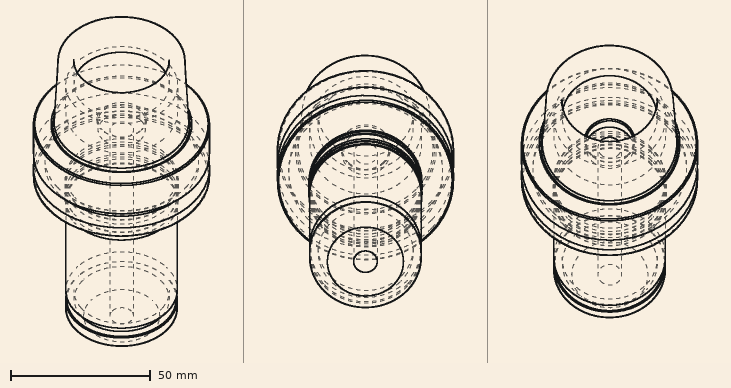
import cadquery as cq

total_height = 126.0
flange_bottom = 68.2
flange_top = 94.0
taper_base = 96.0

taper_base_radius = 48.1 / 2
taper_top_radius = 22.7
taper_rim_fillet = 1.3

root_top = 95.0
relief_outer_radius = 25.2
relief_floor_radius = 24.6
relief_depth = 0.3

flange_radius = 63.0 / 2
flange_chamfer = 0.5
gripper_floor_radius = 55.0 / 2
gripper_bottom = 72.7
gripper_floor_bottom = 74.2
gripper_floor_top = 77.6
gripper_top = 79.6
gripper_root_fillet = 0.6

body_radius = 40.0 / 2
land_radius = 40.5 / 2
land_bottom = 55.8
land_chamfer = 0.3
land_groove_root_radius = 19.8
land_groove_lip_radius = 20.0
land_groove_width = 2.3
land_groove_bottoms = (58.0, 64.0)
land_groove_bottom_lead = 0.5
land_groove_top_lead = 0.8
collar_neck_radius = 19.9
collar_neck_top = 67.0

lock_groove_radius = 17.0
lock_groove_bottom = 8.2
lock_groove_top = 12.6
lock_groove_fillet = 0.6
lock_groove_edge_chamfer = 0.4
nose_tip_radius = 13.6
nose_height = 3.7
nose_fillet = 0.6

mouth_radius = 34.0 / 2
mouth_rim_fillet = 1.0
mouth_bottom = 113.3
chamber_radius = 20.0
chamber_floor = 96.3
chamber_fillet = 4.4
counterbore_radius = 16.9 / 2
counterbore_depth = 5.0
counterbore_chamfer = 0.5
through_hole_radius = 8.5 / 2

cutter_margin = 1.3


def turned(points):
    """Solid of revolution about Z from (radius, height) points."""
    return cq.Workplane("XZ").polyline(points).close().revolve(360, (0, 0, 0), (0, 1, 0))


def cylinder(radius, bottom, top):
    return cq.Workplane("XY").workplane(offset=bottom).circle(radius).extrude(top - bottom)


def ring_cutter(inner_profile, outer_radius):
    """Groove cutter: floor points from bottom to top, closed at a radius outside the part."""
    bottom = inner_profile[0][1]
    top = inner_profile[-1][1]
    return turned([(outer_radius, bottom)] + inner_profile + [(outer_radius, top)])


def circle_at(height):
    """Selector for the circular edge centred on the axis at a height."""
    return cq.selectors.NearestToPointSelector((0, 0, height))


def make_taper():
    cone = turned([
        (0, flange_bottom),
        (relief_floor_radius, flange_bottom),
        (relief_floor_radius, flange_top - relief_depth),
        (taper_base_radius, root_top),
        (taper_base_radius, taper_base),
        (taper_top_radius, total_height),
        (0, total_height),
    ])
    return cone.faces(">Z").edges().fillet(taper_rim_fillet)


def make_flange():
    disc = cylinder(flange_radius, flange_bottom, flange_top)
    disc = disc.faces("<Z or >Z").edges().chamfer(flange_chamfer)
    gripper_groove = ring_cutter([
        (flange_radius, gripper_bottom),
        (gripper_floor_radius, gripper_floor_bottom),
        (gripper_floor_radius, gripper_floor_top),
        (flange_radius, gripper_top),
    ], flange_radius + cutter_margin)
    for height in (gripper_floor_bottom, gripper_floor_top):
        gripper_groove = gripper_groove.edges(circle_at(height)).fillet(gripper_root_fillet)
    relief = turned([
        (0, flange_top - relief_depth),
        (relief_floor_radius, flange_top - relief_depth),
        (relief_outer_radius, flange_top),
        (0, flange_top),
    ])
    return disc.cut(gripper_groove).cut(relief)


def make_land():
    land = turned([
        (0, land_bottom),
        (body_radius, land_bottom),
        (land_radius, land_bottom + land_chamfer),
        (land_radius, collar_neck_top),
        (collar_neck_radius, flange_bottom),
        (0, flange_bottom),
    ])
    for bottom in land_groove_bottoms:
        top = bottom + land_groove_width
        land = land.cut(ring_cutter([
            (land_radius, bottom),
            (land_groove_lip_radius, bottom + land_groove_bottom_lead),
            (land_groove_root_radius, top - land_groove_top_lead),
            (land_radius, top),
        ], land_radius + cutter_margin))
    return land


def make_nose():
    nose = turned([
        (0, 0),
        (nose_tip_radius, 0),
        (body_radius, nose_height),
        (body_radius, lock_groove_bottom),
        (0, lock_groove_bottom),
    ])
    nose = nose.edges(circle_at(nose_height)).fillet(nose_fillet)
    return nose.faces(">Z").edges().chamfer(lock_groove_edge_chamfer)


def make_body():
    """Body down to the locking groove, whose upper inner corner is rounded."""
    groove_core = cylinder(lock_groove_radius, lock_groove_bottom, lock_groove_top)
    body = groove_core.union(cylinder(body_radius, lock_groove_top, land_bottom))
    inner_corner = cq.selectors.RadiusNthSelector(0)
    return body.edges("%CIRCLE and (not <Z)").edges(inner_corner).fillet(lock_groove_fillet)


def make_bore():
    chamber = cylinder(chamber_radius, chamber_floor, mouth_bottom)
    chamber = chamber.faces("<Z").edges().fillet(chamber_fillet)
    counterbore = cylinder(counterbore_radius, chamber_floor - counterbore_depth, chamber_floor)
    counterbore_lead = turned([
        (0, chamber_floor - counterbore_chamfer),
        (counterbore_radius, chamber_floor - counterbore_chamfer),
        (counterbore_radius + counterbore_chamfer, chamber_floor),
        (0, chamber_floor),
    ])
    through_hole = cylinder(through_hole_radius, 0, chamber_floor)
    mouth = cylinder(mouth_radius, mouth_bottom, total_height)
    return mouth.union(chamber).union(counterbore).union(counterbore_lead).union(through_hole)


outside = make_nose().union(make_body()).union(make_land()).union(make_flange()).union(make_taper())
bored = outside.cut(make_bore())
mouth_edge = bored.faces(">Z").edges(cq.selectors.RadiusNthSelector(0))
result = mouth_edge.fillet(mouth_rim_fillet)